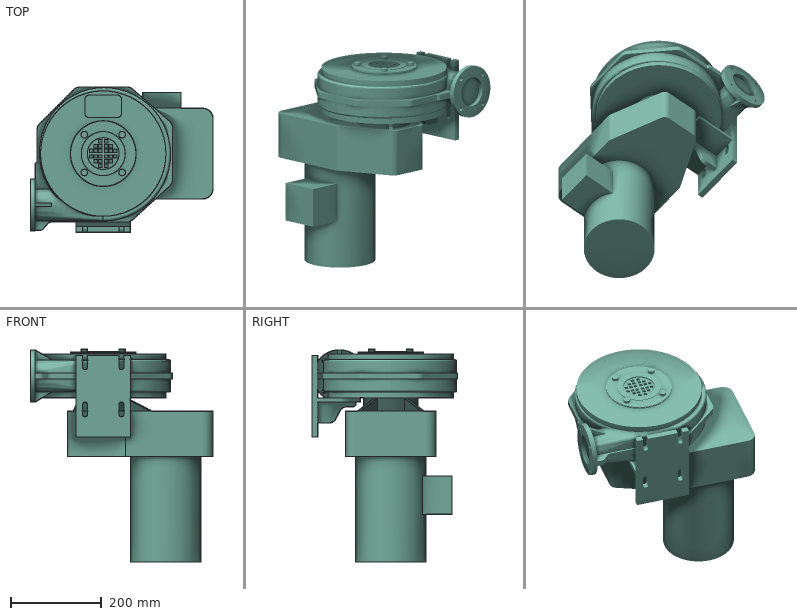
import cadquery as cq
import math


drum_diameter = 276
drum_half_height = 48.5
volute_radii = (140.5, 145.2, 148.5, 148.5)
volute_half_height = 35.7
volute_edge_fillet = 4.5

split_flange_half_height = 6.7
split_flange_right = 152.5
split_flange_back = 147
split_flange_front = -151
split_flange_left = -146
split_flange_flat = 59
right_corner_y = 65.8
left_corner_y = 60
left_step_top_y = -18.5
left_step_bottom_y = -22
corner_fillet = 20
foot_fillet = 10

outlet_y = -113
outlet_face_x = -160.5
outlet_flange_diameter = 115
outlet_flange_thickness = 10.5
outlet_bore_diameter = 65
outlet_bore_depth = 10
outlet_hole_diameter = 8.5
outlet_hole_offset = 33.7
outlet_flange_back_x = outlet_face_x + outlet_flange_thickness
pipe_radius = 35.7
pipe_end_inset = 0.3
pipe_end_fillet = 4
foot_front_y = -169
foot_tip_x = -135
foot_end_x = -119
outlet_rib_thickness = 8
outlet_rib_length = 36
outlet_rib_end_z = 36

inlet_plate_diameter = 145
inlet_plate_top = 51
inlet_rim_diameter = 144
inlet_rim_top = 52.4
inlet_ring_diameter = 97
inlet_ring_top = 53.8
inlet_recess_diameter = 70
inlet_recess_depth = 3
pin_diameter = 14.4
pin_top = 59
pin_offset = 41.6
grid_first = 6.4
grid_pitch = 10.2
grid_count = 3
grid_opening = 7.6
grid_depth = 5

label_width = 81
label_height = 50
label_y = 104
label_corner = 10
label_thickness = 0.3

neck_diameter = 120
belt_top = -77.3
belt_bottom = -177.5
belt_left = -79
belt_right = 242
belt_half_width = 100
belt_taper_x = 49
belt_left_half_width = 45
belt_left_fillet = 16
belt_right_fillet = 23
neck_rib_angle = 33.5
neck_rib_thickness = 8
neck_rib_reach_left = 77
neck_rib_reach_right = 126

motor_x = 137.5
motor_diameter = 156
overall_height = 468.9
motor_bottom = pin_top - overall_height
terminal_width = 85
terminal_x = 129
terminal_back_y = 135
terminal_top = -220
terminal_height = 85

bracket_width = 120
overall_depth = 320.5
bracket_front_y = split_flange_back - overall_depth
bracket_thickness = 13
bracket_top = 45.5
bracket_height = 180
slot_width = 11.5
slot_x = 40
upper_slot_bottom = 14
lower_slot_bottom = -90
lower_slot_length = 32
shelf_top = -drum_half_height
shelf_thickness = 8.5
shelf_back_y = -67
gusset_thickness = 10
gusset_bottom = -104
gusset_tip_y = -77
gusset_tip_bottom = -68
gusset_tip_radius = 6
gusset_bend_start_y = -97
gusset_bend_end = (-111, -76)
gusset_bend_radius = 16
gusset_slope_end = (-120, -93)
gusset_foot_y = -136
gusset_foot_radius = 18
bracket_back_y = bracket_front_y + bracket_thickness
shelf_bottom = shelf_top - shelf_thickness


def disc(diameter, bottom, top, x=0, y=0):
    """Vertical cylinder between two heights."""
    return cq.Workplane("XY", origin=(x, y, bottom)).circle(diameter / 2).extrude(top - bottom)


def box(x_range, y_range, z_range):
    """Axis-aligned block given by its limits."""
    size = [high - low for low, high in (x_range, y_range, z_range)]
    corner = (x_range[0], y_range[0], z_range[0])
    return cq.Workplane("XY").box(*size, centered=False).translate(corner)


def polar(radius, angle):
    """Point at a distance and an angle in degrees from the fan axis."""
    turn = math.radians(angle)
    return (radius * math.cos(turn), radius * math.sin(turn))


def make_volute_sector(points):
    """Flat-topped sector about the fan axis; its rim passes arcs through the points and is rounded."""
    outline = cq.Workplane("XY", origin=(0, 0, -volute_half_height)).lineTo(*points[0])
    for middle, end in zip(points[1::2], points[2::2]):
        outline = outline.threePointArc(middle, end)
    sector = outline.close().extrude(2 * volute_half_height)
    return sector.faces("|Z").edges("%CIRCLE").fillet(volute_edge_fillet)


def make_volute():
    """Spiral casing growing from -X over +Y and +X to -Y, completed by a sector of constant radius."""
    base, back, right, front = volute_radii
    spiral = make_volute_sector([
        polar(base, 180),
        polar((base + back) / 2, 135),
        polar(back, 90),
        polar((back + right) / 2, 45),
        polar(right, 0),
        polar((right + front) / 2, -45),
        polar(front, -90),
    ])
    return spiral.union(make_volute_sector([polar(base, 180), polar(base, 225), polar(base, 270)]))


def make_split_flange():
    """Octagonal joint flange that reaches out to the outlet flange."""
    points = [
        (-split_flange_flat, split_flange_back),
        (split_flange_flat, split_flange_back),
        (split_flange_right, right_corner_y),
        (split_flange_right, -right_corner_y),
        (split_flange_flat, split_flange_front),
        (foot_end_x, split_flange_front),
        (foot_tip_x, foot_front_y),
        (outlet_flange_back_x, foot_front_y),
        (outlet_flange_back_x, left_step_bottom_y),
        (split_flange_left, left_step_top_y),
        (split_flange_left, left_corner_y),
    ]
    plate = (
        cq.Workplane("XY", origin=(0, 0, -split_flange_half_height))
        .polyline(points)
        .close()
        .extrude(2 * split_flange_half_height)
    )
    rounded = [(corner, corner_fillet) for corner in points[:5] + points[-1:]]
    rounded += [(corner, foot_fillet) for corner in points[5:7]]
    for (x, y), radius in rounded:
        corner_edge = cq.selectors.BoxSelector((x - 1, y - 1, -1), (x + 1, y + 1, 1))
        plate = plate.edges(corner_edge).fillet(radius)
    return plate


def make_pipe():
    """Outlet pipe lofted from round at the flange to the square volute section at X = 0."""
    front = -volute_radii[3] + pipe_end_inset
    back = outlet_y + pipe_radius
    height = 2 * (volute_half_height - pipe_end_inset)
    square = cq.Sketch().rect(back - front, height).vertices().fillet(pipe_end_fillet)
    round_end = cq.Sketch().circle(pipe_radius)
    end = cq.Location(cq.Vector((front + back) / 2 - outlet_y, 0, -outlet_flange_back_x))
    return (
        cq.Workplane("YZ", origin=(outlet_flange_back_x, outlet_y, 0))
        .placeSketch(round_end, square.moved(end))
        .loft()
    )


def make_outlet_flange():
    """Round flange with a blind bore and four through bolt holes."""
    plane = cq.Workplane("YZ", origin=(outlet_face_x, outlet_y, 0))
    flange = plane.circle(outlet_flange_diameter / 2).extrude(outlet_flange_thickness)
    bore = plane.circle(outlet_bore_diameter / 2).extrude(outlet_bore_depth)
    holes = (
        plane.rect(2 * outlet_hole_offset, 2 * outlet_hole_offset, forConstruction=True)
        .vertices()
        .circle(outlet_hole_diameter / 2)
        .extrude(outlet_flange_thickness)
    )
    return flange.cut(bore).cut(holes)


def make_outlet_rib():
    """Upright rib in the pipe's middle plane, tapering away from the flange."""
    tip = outlet_flange_diameter / 2
    end_x = outlet_flange_back_x + outlet_rib_length
    outline = [
        (outlet_flange_back_x, -tip),
        (outlet_flange_back_x, tip),
        (end_x, outlet_rib_end_z),
        (end_x, -outlet_rib_end_z),
    ]
    return (
        cq.Workplane("XZ", origin=(0, outlet_y, 0))
        .polyline(outline)
        .close()
        .extrude(outlet_rib_thickness / 2, both=True)
    )


def make_inlet():
    """Stepped inlet cover with four pins."""
    cover = disc(inlet_plate_diameter, drum_half_height, inlet_plate_top)
    cover = cover.union(disc(inlet_rim_diameter, inlet_plate_top, inlet_rim_top))
    cover = cover.union(disc(inlet_ring_diameter, inlet_rim_top, inlet_ring_top))
    for x in (-pin_offset, pin_offset):
        for y in (-pin_offset, pin_offset):
            cover = cover.union(disc(pin_diameter, drum_half_height, pin_top, x, y))
    return cover


def make_inlet_openings():
    """Shallow round recess with a grille of square pockets in its floor."""
    floor = inlet_ring_top - inlet_recess_depth
    recess = disc(inlet_recess_diameter, floor, inlet_ring_top)
    centers = []
    for column in range(grid_count):
        for row in range(grid_count - column):
            x = grid_first + column * grid_pitch
            y = grid_first + row * grid_pitch
            centers += [(x, y), (-x, y), (x, -y), (-x, -y)]
    grid = (
        cq.Workplane("XY", origin=(0, 0, floor))
        .pushPoints(centers)
        .rect(grid_opening, grid_opening)
        .extrude(-grid_depth)
    )
    return recess.union(grid)


def make_label():
    """Thin name plate on the drum's top face."""
    return (
        cq.Workplane("XY", origin=(0, label_y, drum_half_height))
        .rect(label_width, label_height)
        .extrude(label_thickness)
        .edges("|Z")
        .fillet(label_corner)
    )


def make_belt_housing():
    """Box with a straight right end and a tapered left end."""
    housing = (
        cq.Workplane("XY", origin=(0, 0, belt_bottom))
        .polyline([
            (belt_left, -belt_left_half_width),
            (belt_taper_x, -belt_half_width),
            (belt_right, -belt_half_width),
            (belt_right, belt_half_width),
            (belt_taper_x, belt_half_width),
            (belt_left, belt_left_half_width),
        ])
        .close()
        .extrude(belt_top - belt_bottom)
    )
    housing = housing.edges("|Z and <X").fillet(belt_left_fillet)
    return housing.edges("|Z and >X").fillet(belt_right_fillet)


def make_neck_rib(angle, reach):
    """Triangular web from the neck down to the belt housing's top face."""
    outline = [
        (0, -drum_half_height),
        (neck_diameter / 2, -drum_half_height),
        (reach, belt_top),
        (0, belt_top),
    ]
    rib = (
        cq.Workplane("XZ")
        .polyline(outline)
        .close()
        .extrude(neck_rib_thickness / 2, both=True)
    )
    return rib.rotate((0, 0, 0), (0, 0, 1), angle)


def make_neck():
    """Round neck with four webs."""
    neck = disc(neck_diameter, belt_top, -drum_half_height)
    for side in (-1, 1):
        neck = neck.union(make_neck_rib(side * neck_rib_angle, neck_rib_reach_right))
        neck = neck.union(make_neck_rib(180 - side * neck_rib_angle, neck_rib_reach_left))
    return neck


def make_motor():
    """Motor cylinder with its terminal box on the +Y side."""
    motor = disc(motor_diameter, motor_bottom, belt_bottom, motor_x)
    terminal = box(
        (terminal_x - terminal_width / 2, terminal_x + terminal_width / 2),
        (0, terminal_back_y),
        (terminal_top - terminal_height, terminal_top),
    )
    return motor.union(terminal)


def make_slot(x, bottom, top):
    """Vertical slot cutter with rounded ends through the bracket plate."""
    length = top - bottom
    return (
        cq.Workplane("XZ", origin=(x, bracket_back_y, bottom + length / 2))
        .slot2D(length, slot_width, 90)
        .extrude(bracket_thickness)
    )


def make_gusset():
    """Rib under the shelf whose free edge runs in an S from the shelf to the plate."""
    return (
        cq.Workplane("YZ", origin=(-gusset_thickness / 2, 0, 0))
        .moveTo(bracket_back_y, shelf_bottom)
        .lineTo(gusset_tip_y, shelf_bottom)
        .lineTo(gusset_tip_y, gusset_tip_bottom + gusset_tip_radius)
        .radiusArc((gusset_tip_y - gusset_tip_radius, gusset_tip_bottom), gusset_tip_radius)
        .lineTo(gusset_bend_start_y, gusset_tip_bottom)
        .radiusArc(gusset_bend_end, -gusset_bend_radius)
        .lineTo(*gusset_slope_end)
        .radiusArc((gusset_foot_y, gusset_bottom), gusset_foot_radius)
        .lineTo(bracket_back_y, gusset_bottom)
        .close()
        .extrude(gusset_thickness)
    )


def make_bracket():
    """Slotted mounting plate with a shelf under the drum and a gusset."""
    half = bracket_width / 2
    plate = box((-half, half), (bracket_front_y, bracket_back_y), (bracket_top - bracket_height, bracket_top))
    for x in (-slot_x, slot_x):
        plate = plate.cut(make_slot(x, upper_slot_bottom, bracket_top + slot_width))
        plate = plate.cut(make_slot(x, lower_slot_bottom, lower_slot_bottom + lower_slot_length))
    shelf = box((-half, half), (bracket_back_y, shelf_back_y), (shelf_bottom, shelf_top))
    return plate.union(shelf).union(make_gusset())


bodies = (
    make_volute(),
    make_pipe(),
    make_split_flange(),
    make_outlet_rib(),
    make_outlet_flange(),
    make_inlet(),
    make_label(),
    make_neck(),
    make_belt_housing(),
    make_motor(),
    make_bracket(),
)
result = disc(drum_diameter, -drum_half_height, drum_half_height)
for body in bodies:
    result = result.union(body)
result = result.cut(make_inlet_openings())